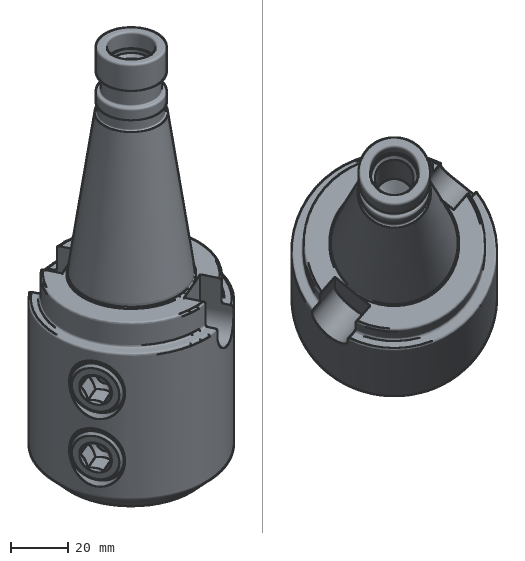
import cadquery as cq
import math

total_height = 173.4
nose_height = 7.8
body_top = 68.3
collar_top = 78.5
gauge_height = 80.3
taper_top = 145.7
neck_top = 150.3
ring_top = 155.0
head_bottom = 162.1

body_radius = 35.98
nose_radius = body_radius - nose_height
collar_radius = 31.7
gauge_radius = 22.2
taper_end_radius = 12.8
neck_radius = 12.0
head_radius = 12.5
groove_radius = 10.8

edge_rounding = 0.9
nose_rounding = 1.4
corner_rounding = 0.5

slot_width = 16.1
slot_bottom = 57.0
slot_inner_x = gauge_radius + corner_rounding

drawbar_counterbore_radius = 8.5
drawbar_counterbore_depth = 6.6
drawbar_relief_radius = 8.1
drawbar_relief_depth = 8.3
drawbar_hole_radius = 6.8
drawbar_hole_depth = 34.7
drill_half_angle = math.radians(59)

screw_heights = (24.0, 52.0)
screw_radius = 10.0
screw_length = 13.9
screw_chamfer = 1.2
countersink_radius = 12.0
socket_across_flats = 10.0
socket_corner_radius = socket_across_flats / 2 / math.cos(math.pi / 6)
socket_mouth_radius = 6.0
socket_floor_radius = 3.5
socket_depth = 10.0


def revolve_about_z(outline):
    """Solid of revolution from (radius, height) points."""
    return cq.Workplane("XZ").polyline(outline).close().revolve(360, (0, 0), (0, 1))


def round_circle(solid, radius, height, rounding):
    """Fillet the circular edge with the given radius and height on the Z axis."""
    tolerance = 0.02

    def on_circle(edge):
        box = edge.BoundingBox()
        point = edge.startPoint()
        is_level = max(abs(box.zmin - height), abs(box.zmax - height)) < tolerance
        return is_level and abs(math.hypot(point.x, point.y) - radius) < tolerance

    return solid.newObject([edge for edge in solid.edges().vals() if on_circle(edge)]).fillet(rounding)


def turned_body():
    """Nose, body, collar, taper and grooved shank end, with rounded edges."""
    solid = revolve_about_z([
        (0, 0),
        (nose_radius, 0),
        (body_radius, nose_height),
        (body_radius, body_top),
        (collar_radius, body_top),
        (collar_radius, collar_top),
        (gauge_radius, collar_top),
        (gauge_radius, gauge_height),
        (taper_end_radius, taper_top),
        (neck_radius, taper_top),
        (neck_radius, neck_top),
        (head_radius, neck_top),
        (head_radius, ring_top),
        (groove_radius, ring_top),
        (groove_radius, head_bottom),
        (head_radius, head_bottom),
        (head_radius, total_height),
        (0, total_height),
    ])
    roundings = [
        (nose_radius, 0, edge_rounding),
        (body_radius, nose_height, nose_rounding),
        (body_radius, body_top, edge_rounding),
        (collar_radius, body_top, edge_rounding),
        (collar_radius, collar_top, edge_rounding),
        (gauge_radius, collar_top, corner_rounding),
        (neck_radius, taper_top, corner_rounding),
        (head_radius, ring_top, edge_rounding),
        (groove_radius, ring_top, corner_rounding),
        (groove_radius, head_bottom, corner_rounding),
        (head_radius, head_bottom, edge_rounding),
        (head_radius, total_height, edge_rounding),
    ]
    for radius, height, rounding in roundings:
        solid = round_circle(solid, radius, height, rounding)
    return solid


def cut_drawbar_hole(solid):
    """Counterbore, narrow ledge, 45 degree cone and blind hole with a drill point."""
    ledge_height = total_height - drawbar_counterbore_depth
    relief_bottom = total_height - drawbar_relief_depth
    cone_bottom = relief_bottom - (drawbar_relief_radius - drawbar_hole_radius)
    hole_bottom = total_height - drawbar_hole_depth
    drill_tip = hole_bottom - drawbar_hole_radius / math.tan(drill_half_angle)
    hole = revolve_about_z([
        (0, total_height),
        (drawbar_counterbore_radius, total_height),
        (drawbar_counterbore_radius, ledge_height),
        (drawbar_relief_radius, ledge_height),
        (drawbar_relief_radius, relief_bottom),
        (drawbar_hole_radius, cone_bottom),
        (drawbar_hole_radius, hole_bottom),
        (0, drill_tip),
    ])
    return round_circle(solid.cut(hole), drawbar_counterbore_radius, total_height, edge_rounding)


def drive_slot(side):
    """Round-bottomed slot open to the top and to the outside; side is +1 or -1."""
    slot_radius = slot_width / 2
    arc_height = slot_bottom + slot_radius
    return (
        cq.Workplane("YZ", origin=(side * slot_inner_x, 0, 0))
        .moveTo(-slot_radius, total_height)
        .lineTo(-slot_radius, arc_height)
        .threePointArc((0, slot_bottom), (slot_radius, arc_height))
        .lineTo(slot_radius, total_height)
        .close()
        .extrude(side * body_radius)
    )


def disc_into_body(height, radius, depth, taper=0):
    """Round plug going in along +Y from the body's front line, narrowing by the taper angle."""
    plane = cq.Workplane("XZ", origin=(0, -body_radius, height))
    return plane.circle(radius).extrude(-depth, taper=taper)


def screw_recess(height):
    """Screw hole with a 45 degree countersink at the body surface."""
    hole = disc_into_body(height, screw_radius, screw_length)
    countersink_depth = countersink_radius - screw_radius
    return hole.union(disc_into_body(height, countersink_radius, countersink_depth, taper=45))


def screw_socket(height):
    """Hexagon socket with a conical mouth and a conical bottom ending in a flat floor."""
    hexagon = (
        cq.Workplane("XZ", origin=(0, -body_radius, height))
        .polygon(6, 2 * socket_corner_radius)
        .extrude(-socket_depth)
    )
    envelope = disc_into_body(height, socket_corner_radius, socket_depth)
    envelope = envelope.faces(">Y").chamfer(socket_corner_radius - socket_floor_radius)
    mouth_depth = socket_mouth_radius - socket_across_flats / 2
    mouth = disc_into_body(height, socket_mouth_radius, mouth_depth, taper=45)
    return hexagon.intersect(envelope).union(mouth)


def screw(height):
    """Chamfered set screw, flush with the body, with a hexagon socket."""
    blank = disc_into_body(height, screw_radius, screw_length)
    return blank.faces("<Y").chamfer(screw_chamfer).cut(screw_socket(height))


result = cut_drawbar_hole(turned_body())
for side in (-1, 1):
    result = result.cut(drive_slot(side))
for height in screw_heights:
    result = result.cut(screw_recess(height)).union(screw(height))